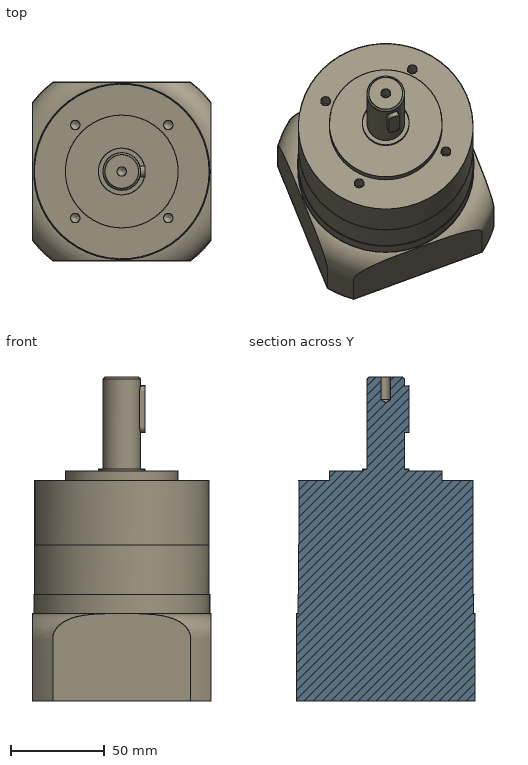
import cadquery as cq
import math

flange_width = 95.0
flange_diameter = 120.0
flange_height = 46.5
flange_edge_radius = 13.3

ring_diameter = 93.8
ring_top = 56.8
lower_body_diameter = 93.2
lower_body_top = 83.0
upper_body_diameter = 93.0
upper_body_top = 117.5
pilot_diameter = 60.0
pilot_top = 122.5
collar_diameter = 24.8
collar_top = 123.5

shaft_diameter = 20.0
shaft_top = 172.5
shaft_chamfer = 1.0

key_length = 25.0
key_width = 6.0
key_height = 6.0
key_outer_x = 12.5
key_end_gap = 4.7

drill_diameter = 5.0
drill_point_angle = 118.0
mounting_hole_depth = 12.0
mounting_hole_spacing = 49.5
centre_hole_depth = 12.0

access_diameter = 12.6
access_y = -13.6
access_z = 17.0
hub_diameter = 41.4


def cylinder(diameter, bottom, top):
    """Upright cylinder on the Z axis between two levels."""
    return cq.Workplane("XY").workplane(offset=bottom).circle(diameter / 2).extrude(top - bottom)


def make_flange():
    disc = cylinder(flange_diameter, 0, flange_height).faces(">Z").edges().fillet(flange_edge_radius)
    square = cq.Workplane("XY").rect(flange_width, flange_width).extrude(flange_height)
    return disc.intersect(square)


def make_housing():
    """Turned steps from the flange up to the shaft collar."""
    steps = [
        (ring_diameter, ring_top),
        (lower_body_diameter, lower_body_top),
        (upper_body_diameter, upper_body_top),
        (pilot_diameter, pilot_top),
        (collar_diameter, collar_top),
    ]
    bottom = flange_height
    housing = cq.Workplane("XY")
    for diameter, top in steps:
        housing = housing.add(cylinder(diameter, bottom, top))
        bottom = top
    return housing.combine()


def make_shaft():
    shaft = cylinder(shaft_diameter, collar_top, shaft_top)
    return shaft.faces(">Z").edges().chamfer(shaft_chamfer)


def make_key():
    centre_z = shaft_top - key_end_gap - key_length / 2
    return (
        cq.Workplane("YZ", origin=(key_outer_x - key_height, 0, centre_z))
        .slot2D(key_length, key_width, 90)
        .extrude(key_height)
    )


def make_drill(x, y, top, depth):
    """Drilled hole with a conical bottom; depth is that of the straight wall."""
    radius = drill_diameter / 2
    point_length = radius / math.tan(math.radians(drill_point_angle / 2))
    return (
        cq.Workplane("XZ")
        .moveTo(0, 0)
        .lineTo(radius, 0)
        .lineTo(radius, -depth)
        .lineTo(0, -depth - point_length)
        .close()
        .revolve(360, (0, 0, 0), (0, 1, 0))
        .translate((x, y, top))
    )


def make_access_hole():
    hole = (
        cq.Workplane("YZ", origin=(-flange_width / 2, access_y, access_z))
        .circle(access_diameter / 2)
        .extrude(flange_width / 2)
    )
    return hole.cut(cylinder(hub_diameter, 0, flange_height))


result = make_flange().union(make_housing()).union(make_shaft()).union(make_key())

offset = mounting_hole_spacing / 2
for side_x in (-1, 1):
    for side_y in (-1, 1):
        hole = make_drill(side_x * offset, side_y * offset, upper_body_top, mounting_hole_depth)
        result = result.cut(hole)

result = result.cut(make_drill(0, 0, shaft_top, centre_hole_depth))
result = result.cut(make_access_hole())